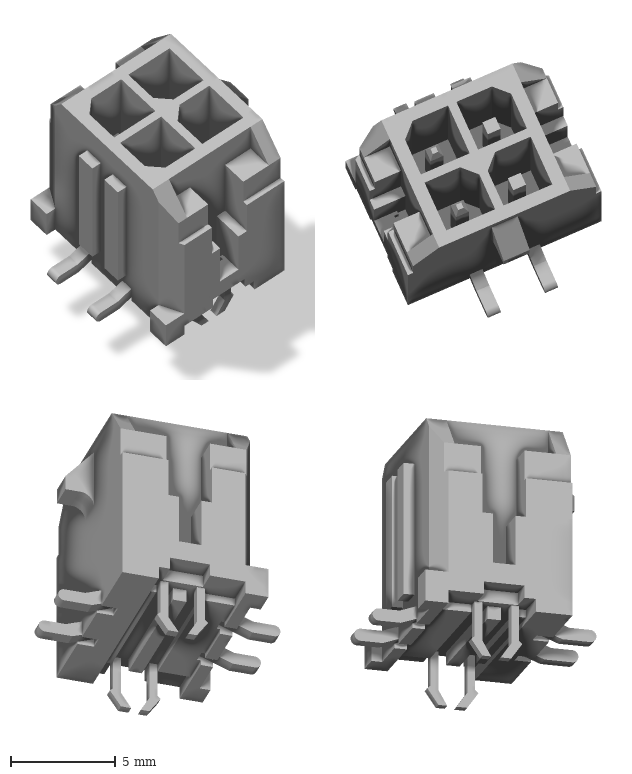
import cadquery as cq
import math

CUT_MARGIN = 1.0

HOUSING_WIDTH = 10.15
HOUSING_HEIGHT = 9.9
HOUSING_DEPTH = 6.83
HOUSING_CENTER_Y = 0.015
HALF_WIDTH = HOUSING_WIDTH / 2
REAR_Y = HOUSING_CENTER_Y + HOUSING_DEPTH / 2
FRONT_Y = HOUSING_CENTER_Y - HOUSING_DEPTH / 2

CORE_HALF_WIDTH = 3.435
UPPER_HALF_WIDTH = 4.8
SHOULDER_Z = 6.75
BEVEL_Z = 8.25
REAR_CHEEK_DEPTH = 0.74
FRONT_CHEEK_DEPTH = 1.01
CORNER_CHAMFER_X = 1.195
CORNER_CHAMFER_Y = 0.62
WIDE_SLOT_WIDTH = 2.19
WIDE_SLOT_FLOOR_Z = 4.78
NARROW_SLOT_WIDTH = 1.14
NARROW_SLOT_FLOOR_Z = 2.28

CLIP_THICKNESS = 0.445
CLIP_OUTER_X = CORE_HALF_WIDTH + CLIP_THICKNESS
CLIP_POCKET_DEPTH = 0.5
BARB_POCKET_X = 4.1
BARB_POCKET_WIDTH = 0.8
CLIP_NOTCH_WIDTH = 2.02
CLIP_NOTCH_DEPTH = 1.1
CLIP_NOTCH_TOP_Z = 1.27

UNDERSIDE_Z = 0.65
REAR_FOOT_FRONT_Y = 1.595
FRONT_FOOT_REAR_Y = FRONT_Y + CORNER_CHAMFER_Y
RIDGE_Z = 0.26
REAR_RIDGE_Y = 1.18
FRONT_RIDGE_Y = -1.14
CENTER_BAR_WIDTH = 0.67

FRONT_RELIEF = 0.535
FRONT_FOOT_HEIGHT = 1.58
RIB_WIDTH = 1.02
RIB_CENTER_X = 0.96
RIB_TOP_Z = BEVEL_Z

LATCH_WIDTH = 1.36
LATCH_TIP_Y = 4.855
LATCH_RAMP_TOP_Z = 9.3
LATCH_TIP_TOP_Z = 7.71
LATCH_UNDERSIDE_Z = 6.96
LATCH_ROOT_RADIUS = 0.68

PITCH = 3.0
CAVITY_SIZE = 2.56
CAVITY_CHAMFER = 0.7
CAVITY_FLOOR_Z = 2.3
PIN_WIDTH = 0.67
PIN_DEPTH = 0.64
PIN_TOP_Z = 7.5
PIN_TIP_SIZE = 0.28
PIN_TIP_HEIGHT = 0.5
LEAD_REACH_Y = 5.6
LEAD_THICKNESS = 0.62
LEAD_BOTTOM_Z = -0.05
LEAD_SLOPE = math.tan(math.radians(20))
LEAD_BEND_TOP_Y = 4.24
REAR_LEAD_BEND_BOTTOM_Y = 3.9
FRONT_LEAD_BEND_BOTTOM_Y = 4.19
LEAD_ROOT_Y = 2.6

CLIP_BOTTOM_Z = -2.06
CLIP_BARB_TOP_Z = -1.12
CLIP_LEG_INNER_Y = 0.725
CLIP_LEG_OUTER_Y = 1.12
CLIP_BARB_TIP_Y = 1.28
CLIP_BARB_TIP_Z = -1.265
CLIP_BEND_Z = -1.29
CLIP_TOE_OUTER_Y = 0.72
REAR_TOE_INNER_Y = 0.2
FRONT_TOE_INNER_Y = 0.28


def block(x_range, y_range, z_range):
    """Box between the given limits."""
    size = [high - low for low, high in (x_range, y_range, z_range)]
    return cq.Workplane("XY").box(*size, centered=False).translate((x_range[0], y_range[0], z_range[0]))


def centered_range(center, width):
    return (center - width / 2, center + width / 2)


def both_sides(left):
    """The given shape together with its mirror image across x = 0."""
    return left.union(left.mirror("YZ"))


def housing_blank():
    """Stepped and bevelled front outline, extruded from front to rear."""
    right_outline = [
        (HALF_WIDTH, 0),
        (HALF_WIDTH, SHOULDER_Z),
        (UPPER_HALF_WIDTH, SHOULDER_Z),
        (UPPER_HALF_WIDTH, BEVEL_Z),
        (CORE_HALF_WIDTH, HOUSING_HEIGHT),
    ]
    left_outline = [(-x, z) for x, z in reversed(right_outline)]
    outline = cq.Workplane("XZ", origin=(0, REAR_Y, 0)).polyline(right_outline + left_outline).close()
    return outline.extrude(HOUSING_DEPTH)


def front_corner_cut():
    """Slanted vertical face on the front left corner, above the foot."""
    corner = [
        (-HALF_WIDTH, FRONT_Y),
        (-HALF_WIDTH + CORNER_CHAMFER_X, FRONT_Y),
        (-HALF_WIDTH, FRONT_Y + CORNER_CHAMFER_Y),
    ]
    foot_top = cq.Workplane("XY", origin=(0, 0, FRONT_FOOT_HEIGHT))
    return foot_top.polyline(corner).close().extrude(HOUSING_HEIGHT)


def side_recess():
    """Shelf between the cheeks, stepped slot below it and the clip pocket in the slot floor."""
    open_x = (-HALF_WIDTH - CUT_MARGIN, -CORE_HALF_WIDTH)
    open_top_z = HOUSING_HEIGHT + CUT_MARGIN
    wide_y = centered_range(HOUSING_CENTER_Y, WIDE_SLOT_WIDTH)
    narrow_y = centered_range(HOUSING_CENTER_Y, NARROW_SLOT_WIDTH)
    barb_y = centered_range(HOUSING_CENTER_Y, BARB_POCKET_WIDTH)
    pocket_z = (NARROW_SLOT_FLOOR_Z - CLIP_POCKET_DEPTH, NARROW_SLOT_FLOOR_Z)
    shelf_y = (FRONT_Y + FRONT_CHEEK_DEPTH, REAR_Y - REAR_CHEEK_DEPTH)

    recess = block(open_x, shelf_y, (BEVEL_Z, open_top_z))
    recess = recess.union(block(open_x, wide_y, (WIDE_SLOT_FLOOR_Z, open_top_z)))
    recess = recess.union(block(open_x, narrow_y, (NARROW_SLOT_FLOOR_Z, open_top_z)))
    recess = recess.union(block((-CLIP_OUTER_X, -CORE_HALF_WIDTH), narrow_y, pocket_z))
    return recess.union(block((-BARB_POCKET_X, -CORE_HALF_WIDTH), barb_y, pocket_z))


def clip_notch():
    """Notch at the bottom of the left side, outboard of the retention clip."""
    notch_y = centered_range(HOUSING_CENTER_Y, CLIP_NOTCH_WIDTH)
    return block((-HALF_WIDTH - CUT_MARGIN, -HALF_WIDTH + CLIP_NOTCH_DEPTH), notch_y, (0, CLIP_NOTCH_TOP_Z))


def underside_recess():
    """Channel across the bottom, less two ridges and a centre bar between the clips."""
    channel_x = (-HALF_WIDTH - CUT_MARGIN, HALF_WIDTH + CUT_MARGIN)
    core_x = (-CORE_HALF_WIDTH, CORE_HALF_WIDTH)
    channel = block(channel_x, (FRONT_FOOT_REAR_Y, REAR_FOOT_FRONT_Y), (-CUT_MARGIN, UNDERSIDE_Z))
    rear_ridge = block(core_x, (REAR_RIDGE_Y, REAR_FOOT_FRONT_Y), (RIDGE_Z, UNDERSIDE_Z))
    front_ridge = block(core_x, (FRONT_FOOT_REAR_Y, FRONT_RIDGE_Y), (RIDGE_Z, UNDERSIDE_Z))
    center_bar = block(core_x, centered_range(0, CENTER_BAR_WIDTH), (0, UNDERSIDE_Z))
    return channel.cut(rear_ridge).cut(front_ridge).cut(center_bar)


def front_foot():
    """Foot on the front left corner, filling out the corner chamfer."""
    foot_x = (-HALF_WIDTH, -HALF_WIDTH + CORNER_CHAMFER_X)
    return block(foot_x, (FRONT_Y - FRONT_RELIEF, FRONT_Y), (0, FRONT_FOOT_HEIGHT))


def polarising_rib():
    rib_x = centered_range(-RIB_CENTER_X, RIB_WIDTH)
    return block(rib_x, (FRONT_Y - FRONT_RELIEF, FRONT_Y), (FRONT_FOOT_HEIGHT, RIB_TOP_Z))


def latch():
    """Ramped hook on the rear face with a concave root below it."""
    arc_middle = LATCH_ROOT_RADIUS * (1 - math.sqrt(0.5))
    return (
        cq.Workplane("YZ", origin=(-LATCH_WIDTH / 2, 0, 0))
        .moveTo(REAR_Y, LATCH_RAMP_TOP_Z)
        .lineTo(LATCH_TIP_Y, LATCH_TIP_TOP_Z)
        .lineTo(LATCH_TIP_Y, LATCH_UNDERSIDE_Z)
        .lineTo(REAR_Y + LATCH_ROOT_RADIUS, LATCH_UNDERSIDE_Z)
        .threePointArc(
            (REAR_Y + arc_middle, LATCH_UNDERSIDE_Z - arc_middle),
            (REAR_Y, LATCH_UNDERSIDE_Z - LATCH_ROOT_RADIUS),
        )
        .close()
        .extrude(LATCH_WIDTH)
    )


def cavity(center_x, center_y, chamfer_side):
    """Square contact cavity; its front corner on chamfer_side (-1 left, 1 right) is cut off."""
    half = CAVITY_SIZE / 2
    outline = [
        (chamfer_side * half, half),
        (-chamfer_side * half, half),
        (-chamfer_side * half, -half),
        (chamfer_side * (half - CAVITY_CHAMFER), -half),
        (chamfer_side * half, -half + CAVITY_CHAMFER),
    ]
    base = cq.Workplane("XY", origin=(center_x, center_y, CAVITY_FLOOR_Z))
    return base.polyline(outline).close().extrude(HOUSING_HEIGHT)


def pin(center_x, center_y, pointed):
    """Contact pin standing in a cavity, with a tapered tip if pointed."""
    shaft_top_z = PIN_TOP_Z - PIN_TIP_HEIGHT if pointed else PIN_TOP_Z
    shaft = block(
        centered_range(center_x, PIN_WIDTH),
        centered_range(center_y, PIN_DEPTH),
        (UNDERSIDE_Z, shaft_top_z),
    )
    if not pointed:
        return shaft
    tip = (
        cq.Workplane("XY", origin=(center_x, center_y, shaft_top_z))
        .rect(PIN_WIDTH, PIN_DEPTH)
        .workplane(offset=PIN_TIP_HEIGHT)
        .rect(PIN_TIP_SIZE, PIN_TIP_SIZE)
        .loft()
    )
    return shaft.union(tip)


def lead_slot(center_x, side):
    """Opening in the front (side -1) or rear (side 1) wall that the lead leaves through."""
    wall_y = REAR_Y if side > 0 else -FRONT_Y
    top_z = LEAD_BOTTOM_Z + LEAD_THICKNESS + LEAD_SLOPE * (LEAD_BEND_TOP_Y - wall_y)
    y_range = sorted((side * LEAD_ROOT_Y, side * (wall_y + CUT_MARGIN)))
    return block(centered_range(center_x, PIN_WIDTH), y_range, (-CUT_MARGIN, top_z))


def lead(center_x, side, bend_bottom_y):
    """Solder tail: slopes down out of the wall, runs level and ends in a full round."""
    radius = LEAD_THICKNESS / 2
    top_z = LEAD_BOTTOM_Z + LEAD_THICKNESS
    round_y = LEAD_REACH_Y - radius
    return (
        cq.Workplane("YZ", origin=(center_x - PIN_WIDTH / 2, 0, 0))
        .moveTo(side * LEAD_ROOT_Y, top_z + LEAD_SLOPE * (LEAD_BEND_TOP_Y - LEAD_ROOT_Y))
        .lineTo(side * LEAD_BEND_TOP_Y, top_z)
        .lineTo(side * round_y, top_z)
        .threePointArc((side * LEAD_REACH_Y, top_z - radius), (side * round_y, LEAD_BOTTOM_Z))
        .lineTo(side * bend_bottom_y, LEAD_BOTTOM_Z)
        .lineTo(side * LEAD_ROOT_Y, LEAD_BOTTOM_Z + LEAD_SLOPE * (bend_bottom_y - LEAD_ROOT_Y))
        .close()
        .extrude(PIN_WIDTH)
    )


def clip_leg(side, toe_inner_y):
    """Barbed front (side -1) or rear (side 1) leg of the left retention clip."""
    outline = [
        (side * CLIP_LEG_INNER_Y, UNDERSIDE_Z),
        (side * CLIP_LEG_OUTER_Y, UNDERSIDE_Z),
        (side * CLIP_LEG_OUTER_Y, CLIP_BARB_TOP_Z),
        (side * CLIP_BARB_TIP_Y, CLIP_BARB_TIP_Z),
        (side * CLIP_TOE_OUTER_Y, CLIP_BOTTOM_Z),
        (side * toe_inner_y, CLIP_BOTTOM_Z),
        (side * CLIP_LEG_INNER_Y, CLIP_BEND_Z),
    ]
    plane = cq.Workplane("YZ", origin=(-CLIP_OUTER_X, 0, 0))
    return plane.polyline(outline).close().extrude(CLIP_THICKNESS)


housing = housing_blank()
for side_cut in (front_corner_cut(), side_recess(), clip_notch()):
    housing = housing.cut(both_sides(side_cut))
housing = housing.cut(underside_recess())
rear_clip_leg = clip_leg(1, REAR_TOE_INNER_Y)
front_clip_leg = clip_leg(-1, FRONT_TOE_INNER_Y)
for side_addition in (front_foot(), polarising_rib(), rear_clip_leg, front_clip_leg):
    housing = housing.union(both_sides(side_addition))
housing = housing.union(latch())

for column in (-1, 1):
    contact_x = column * PITCH / 2
    for row, bend_y in ((-1, FRONT_LEAD_BEND_BOTTOM_Y), (1, REAR_LEAD_BEND_BOTTOM_Y)):
        cavity_y = HOUSING_CENTER_Y + row * PITCH / 2
        housing = housing.cut(cavity(contact_x, cavity_y, -row * column))
        housing = housing.cut(lead_slot(contact_x, row))
        housing = housing.union(pin(contact_x, row * PITCH / 2, pointed=column > 0))
        housing = housing.union(lead(contact_x, row, bend_y))

result = housing